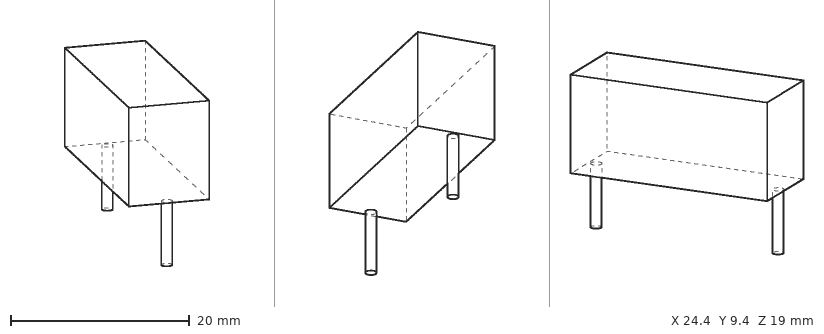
import cadquery as cq

housing_length = 24.4
housing_width = 9.4
total_height = 19.02

pin_diameter = 1.27
pin_length = 7.47
pin_pitch = 22.6

housing_height = total_height - pin_length


def make_housing():
    """Rectangular block centred on the Z axis, with its underside at Z = 0."""
    return cq.Workplane("XY").box(
        housing_length, housing_width, housing_height, centered=(True, True, False)
    )


def make_pin(x):
    """Straight round pin hanging from the underside of the housing at the given X."""
    return cq.Workplane("XY").center(x, 0).circle(pin_diameter / 2).extrude(-pin_length)


housing = make_housing()

pins = []
for side in (-1, 1):
    pins.append(make_pin(side * pin_pitch / 2).val())

result = cq.Compound.makeCompound([housing.val(), *pins])